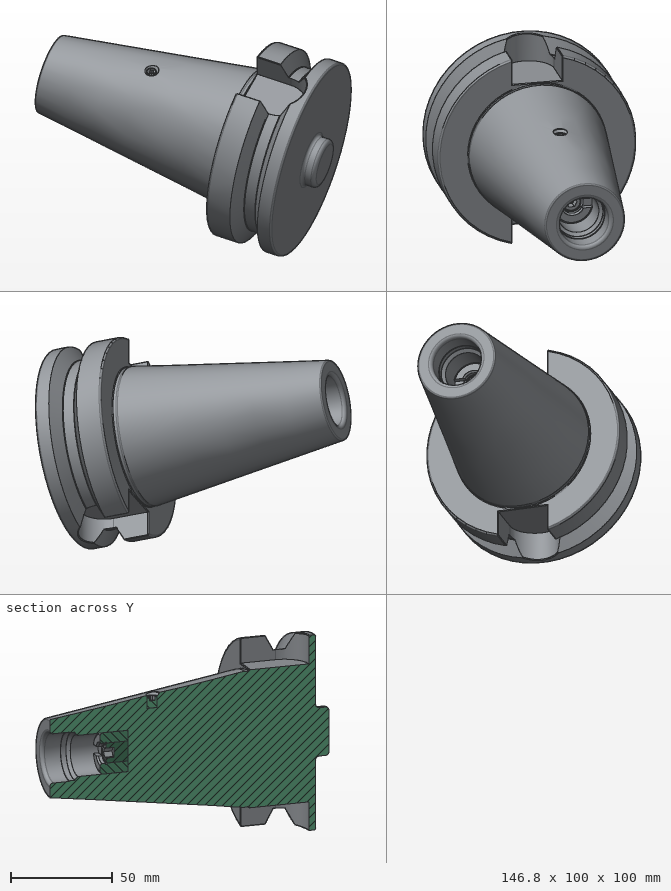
import cadquery as cq
import math


gauge_x = 102.0
gauge_radius = 35.0
taper_ratio = 7 / 24
tail_radius = gauge_radius - gauge_x * taper_ratio / 2
tail_fillet = 0.7
neck_start_x = 102.9
neck_radius = 34.8
neck_fillet = 0.5

flange_radius = 49.99
flange_front_x = 104.8
flange_back_x = 139.8
flange_edge_fillet = 0.9
groove_floor_radius = 42.4
groove_fillet = 0.5
groove_floor_start_x = 122.0
groove_floor_end_x = 128.0
groove_half_angle = 30
groove_flank = (flange_radius - groove_floor_radius) * math.tan(math.radians(groove_half_angle))

slot_width = 25.2
slot_floor = 35.4
slot_end_x = 136.0
slot_edge_chamfer = 0.5

total_length = 146.8
stub_radius = 12.5
stub_root_fillet = 1.8
stub_end_fillet = 2.0

mouth_radius = 12.5
mouth_fillet = 1.9
mouth_depth = 10.3
rim_radius = 12.2
rim_depth = 13.0
lead_in_radius = 12.0
bore_radius = 10.4
lead_in_end_x = rim_depth + lead_in_radius - bore_radius

plug_face_x = 26.4
plug_length = 14.7
plug_chamfer = 0.9
plug_slot_width = 4.8
plug_slot_depth = 3

core_screw_radius = 5.0
core_screw_chamfer = 0.7
core_screw_hex_flats = 4.8
core_screw_hex_depth = 4.4
core_hole_chamfer = 0.9

side_screw_x = 53.9
side_screw_radius = 2.5
side_screw_chamfer = 0.5
side_screw_length = 5.9
side_screw_hex_flats = 2.2
side_screw_hex_depth = 2.2
side_screw_sink = 1.2
side_hole_rim_radius = 3.7
side_surface_z = tail_radius + side_screw_x * taper_ratio / 2
side_screw_top_z = side_surface_z - side_screw_sink

cut_clearance = 1.5
pick_margin = 0.1
half_turn = 180
full_turn = 360


def x_cylinder(radius, start_x, length):
    return cq.Workplane("YZ", origin=(start_x, 0, 0)).circle(radius).extrude(length)


def hex_socket_screw(radius, length, chamfer, hex_flats, hex_depth):
    """Headless screw with its socket in the face at Z = 0 and its body below it."""
    hex_corners = hex_flats / math.cos(math.pi / 6)
    screw = cq.Workplane("XY").circle(radius).extrude(-length).faces(">Z").chamfer(chamfer)
    socket = cq.Workplane("XY").polygon(6, hex_corners).extrude(-hex_depth)
    return screw.cut(socket)


def fillet_ring(body, x, radius, fillet):
    """Round the full circular edge of the given radius at position x on the axis."""
    outer = radius + pick_margin
    inner = radius - pick_margin
    low_x = x - pick_margin
    high_x = x + pick_margin
    near_ring = cq.selectors.BoxSelector((low_x, -outer, -outer), (high_x, outer, outer), True)
    too_small = cq.selectors.BoxSelector((low_x, -inner, -inner), (high_x, inner, inner), True)
    return body.edges(near_ring - too_small).fillet(fillet)


def make_turned_body():
    outline = (
        cq.Workplane("XY")
        .moveTo(0, 0)
        .lineTo(0, tail_radius)
        .lineTo(gauge_x, gauge_radius)
        .lineTo(neck_start_x, neck_radius)
        .lineTo(flange_front_x, neck_radius)
        .lineTo(flange_front_x, flange_radius)
        .lineTo(groove_floor_start_x - groove_flank, flange_radius)
        .lineTo(groove_floor_start_x, groove_floor_radius)
        .lineTo(groove_floor_end_x, groove_floor_radius)
        .lineTo(groove_floor_end_x + groove_flank, flange_radius)
        .lineTo(flange_back_x, flange_radius)
        .lineTo(flange_back_x, stub_radius)
        .lineTo(total_length, stub_radius)
        .lineTo(total_length, 0)
        .close()
    )
    body = outline.revolve(full_turn, (0, 0, 0), (1, 0, 0))
    rounded_rings = (
        (0, tail_radius, tail_fillet),
        (flange_front_x, neck_radius, neck_fillet),
        (flange_front_x, flange_radius, flange_edge_fillet),
        (groove_floor_start_x, groove_floor_radius, groove_fillet),
        (groove_floor_end_x, groove_floor_radius, groove_fillet),
        (flange_back_x, flange_radius, flange_edge_fillet),
        (flange_back_x, stub_radius, stub_root_fillet),
        (total_length, stub_radius, stub_end_fillet),
    )
    for x, radius, fillet in rounded_rings:
        body = fillet_ring(body, x, radius, fillet)
    return body


def make_drive_slot():
    """Round-ended slot, open to the front face and outside of the flange."""
    slot_length = slot_end_x - flange_front_x
    end_radius = slot_width / 2
    return (
        cq.Workplane("XY", origin=(flange_front_x, 0, slot_floor))
        .moveTo(0, -end_radius)
        .lineTo(slot_length - end_radius, -end_radius)
        .threePointArc((slot_length, 0), (slot_length - end_radius, end_radius))
        .lineTo(0, end_radius)
        .close()
        .extrude(flange_radius - slot_floor + cut_clearance)
    )


def make_slot_front_bevel():
    """Tapered block that breaks the walls and floor of a slot at the front face of the flange."""
    height = flange_radius - slot_floor + cut_clearance
    return (
        cq.Workplane("YZ", origin=(flange_front_x, 0, slot_floor + height / 2))
        .rect(slot_width + 2 * slot_edge_chamfer, height + 2 * slot_edge_chamfer)
        .workplane(offset=slot_edge_chamfer)
        .rect(slot_width, height)
        .loft(ruled=True)
    )


def chamfer_slot_rims(body):
    """Break the edges between the slot walls and the outside of the flange."""
    reach = slot_width / 2 + pick_margin
    for side in (-1, 1):
        near_z = side * (math.sqrt(flange_radius**2 - reach**2) - pick_margin)
        far_z = side * (flange_radius + pick_margin)
        low_z, high_z = sorted((near_z, far_z))
        rims = cq.selectors.BoxSelector(
            (flange_front_x + flange_edge_fillet - pick_margin, -reach, low_z),
            (slot_end_x + pick_margin, reach, high_z),
            True,
        )
        body = body.edges(rims).chamfer(slot_edge_chamfer)
    return body


def make_bore():
    plug_back_x = plug_face_x + plug_length
    return (
        cq.Workplane("XY")
        .moveTo(0, 0)
        .lineTo(0, mouth_radius + mouth_fillet)
        .radiusArc((mouth_fillet, mouth_radius), -mouth_fillet)
        .lineTo(mouth_depth, mouth_radius)
        .lineTo(mouth_depth, rim_radius)
        .lineTo(rim_depth, rim_radius)
        .lineTo(rim_depth, lead_in_radius)
        .lineTo(lead_in_end_x, bore_radius)
        .lineTo(plug_back_x, bore_radius)
        .lineTo(plug_back_x, 0)
        .close()
        .revolve(full_turn, (0, 0, 0), (1, 0, 0))
    )


def make_side_hole():
    shaft = (
        cq.Workplane("XY", origin=(side_screw_x, 0, side_screw_top_z - side_screw_length))
        .circle(side_screw_radius)
        .extrude(side_screw_length)
    )
    countersink = (
        cq.Workplane("XY", origin=(side_screw_x, 0, side_screw_top_z))
        .circle(side_screw_radius)
        .workplane(offset=side_screw_sink)
        .circle(side_hole_rim_radius)
        .loft()
        .faces(">Z")
        .wires()
        .toPending()
        .extrude(cut_clearance)
    )
    return shaft.union(countersink)


def make_holder():
    body = make_turned_body()
    slot = make_drive_slot()
    bevel = make_slot_front_bevel()
    for turn in (0, half_turn):
        body = body.cut(slot.rotate((0, 0, 0), (1, 0, 0), turn))
    body = chamfer_slot_rims(body)
    for turn in (0, half_turn):
        body = body.cut(bevel.rotate((0, 0, 0), (1, 0, 0), turn))
    return body.cut(make_bore()).cut(make_side_hole())


def make_plug():
    plug = x_cylinder(bore_radius, plug_face_x, plug_length).faces("<X").chamfer(plug_chamfer)
    slot = cq.Workplane("YZ", origin=(plug_face_x, 0, 0)).rect(2 * bore_radius, plug_slot_width)
    plug = plug.cut(slot.extrude(plug_slot_depth))
    hole = x_cylinder(core_screw_radius, plug_face_x, plug_length)
    plug = plug.cut(hole)
    for x in (plug_face_x, plug_face_x + plug_slot_depth):
        cone = (
            cq.Workplane("YZ", origin=(x, 0, 0))
            .circle(core_screw_radius + core_hole_chamfer)
            .workplane(offset=core_hole_chamfer)
            .circle(core_screw_radius)
            .loft()
        )
        plug = plug.cut(cone)
    return plug


def make_core_screw():
    screw = hex_socket_screw(
        core_screw_radius, plug_length - plug_slot_depth, core_screw_chamfer,
        core_screw_hex_flats, core_screw_hex_depth,
    )
    screw = screw.rotate((0, 0, 0), (0, 0, 1), 90)
    return screw.rotate((0, 0, 0), (0, 1, 0), -90).translate((plug_face_x + plug_slot_depth, 0, 0))


def make_side_screw():
    screw = hex_socket_screw(
        side_screw_radius, side_screw_length, side_screw_chamfer,
        side_screw_hex_flats, side_screw_hex_depth,
    )
    return screw.translate((side_screw_x, 0, side_screw_top_z))


holder = make_holder()
plug = make_plug()
core_screw = make_core_screw()
side_screw = make_side_screw()

result = cq.Compound.makeCompound([holder.val(), plug.val(), core_screw.val(), side_screw.val()])